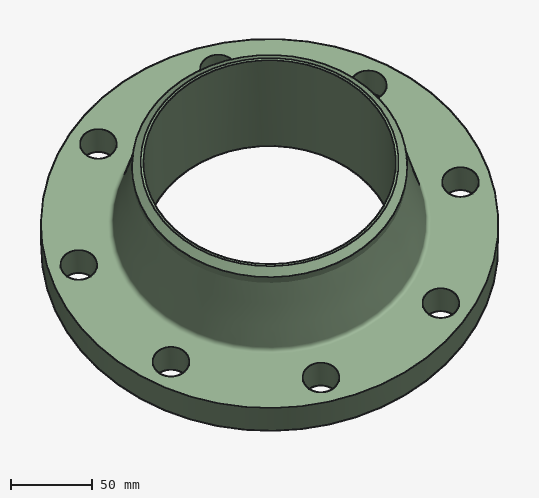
import cadquery as cq
import math

flange_diameter = 279.3
raised_face_diameter = 216.2
raised_face_height = 1.7
flange_top = 25.5

total_height = 88.8
hub_base_diameter = 192.2
pipe_diameter = 168.2
bore_diameter = 154.2
straight_length = 6.0
rim_land_width = 1.7
weld_bevel_angle = 37.5
hub_fillet_radius = 3.0

bolt_count = 8
bolt_circle_diameter = 241.3
bolt_hole_diameter = 22.3

rim_outer_radius = bore_diameter / 2 + rim_land_width
bevel_width = pipe_diameter / 2 - rim_outer_radius
bevel_bottom = total_height - bevel_width * math.tan(math.radians(weld_bevel_angle))
hub_top = bevel_bottom - straight_length


def make_body():
    """Revolve the half section about Z, with the bore already open."""
    return (
        cq.Workplane("XZ")
        .moveTo(bore_diameter / 2, 0)
        .lineTo(raised_face_diameter / 2, 0)
        .lineTo(raised_face_diameter / 2, raised_face_height)
        .lineTo(flange_diameter / 2, raised_face_height)
        .lineTo(flange_diameter / 2, flange_top)
        .lineTo(hub_base_diameter / 2, flange_top)
        .lineTo(pipe_diameter / 2, hub_top)
        .lineTo(pipe_diameter / 2, bevel_bottom)
        .lineTo(rim_outer_radius, total_height)
        .lineTo(bore_diameter / 2, total_height)
        .close()
        .revolve(360, (0, 0, 0), (0, 1, 0))
    )


def blend_hub_foot(body):
    """Fillet the circle where the hub meets the flange plate."""
    plate_top = body.faces("+Z").faces("<Z")
    return plate_top.edges(cq.selectors.RadiusNthSelector(0)).fillet(hub_fillet_radius)


def make_bolt_holes():
    """Drills for the bolt holes, running through the flange plate."""
    return (
        cq.Workplane("XY")
        .polarArray(bolt_circle_diameter / 2, 0, 360, bolt_count)
        .circle(bolt_hole_diameter / 2)
        .extrude(flange_top)
    )


result = blend_hub_foot(make_body()).cut(make_bolt_holes())